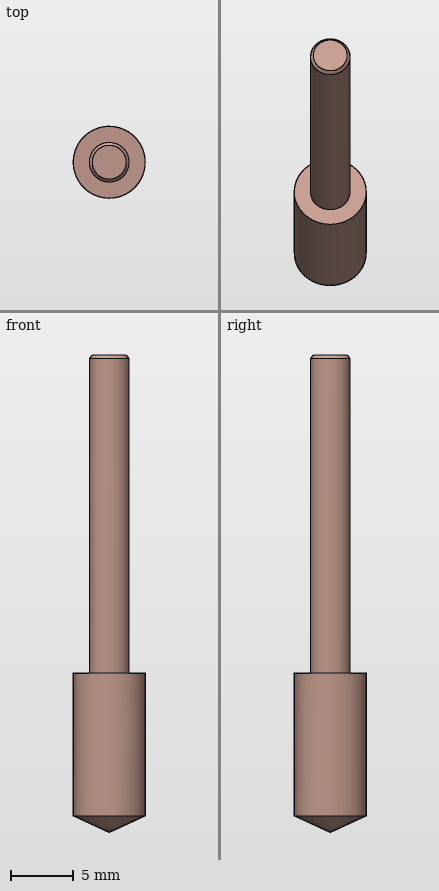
import cadquery as cq

total_length = 38.1
head_diameter = 5.75
shank_diameter = 3.15

tip_height = 1.35
shoulder_height = 12.73
shank_length = total_length - shoulder_height

bevel_width = 0.23
bevel_height = 0.25


def make_head():
    """Cylindrical head with a conical tip, its point at the origin."""
    radius = head_diameter / 2
    return (
        cq.Workplane("XZ")
        .lineTo(radius, tip_height)
        .lineTo(radius, shoulder_height)
        .lineTo(0, shoulder_height)
        .close()
        .revolve(360, (0, 0), (0, 1))
    )


def make_shank():
    """Round shank standing on the flat top of the head, bevelled at its free end."""
    return (
        cq.Workplane("XY", origin=(0, 0, shoulder_height))
        .circle(shank_diameter / 2)
        .extrude(shank_length)
        .faces(">Z")
        .edges()
        .chamfer(bevel_height, bevel_width)
    )


head = make_head()
shank = make_shank()

result = cq.Compound.makeCompound([head.val(), shank.val()])